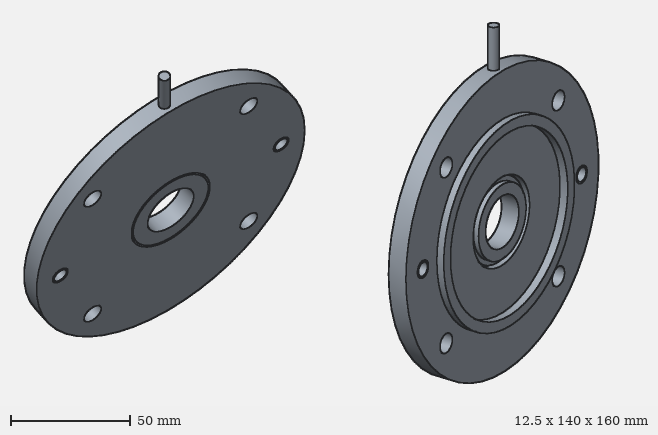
import cadquery as cq
import math


flange_diameter = 140.0
flange_thickness = 9.0
rim_diameter = 95.0
rim_height = 3.5
front_x = -(flange_thickness + rim_height)

cover_diameter = 85.0
cover_recess = 4.0
cover_front_x = front_x + cover_recess
cover_thickness = 4.0
cover_back_x = cover_front_x + cover_thickness

opening_diameter = 41.0
hub_diameter = 39.2
hub_nose_diameter = 34.5
hub_bore_diameter = 24.0
hub_nose_height = 2.5
hub_nose_x = -flange_thickness
hub_shoulder_x = hub_nose_x + hub_nose_height

pitch_radius = 57.5
mounting_hole_diameter = 9.0
mounting_hole_angles = (45, 135, 225, 315)
bushing_diameter = 8.0
bushing_bore_diameter = 6.4
bushing_angles = (0, 180)

cable_diameter = 5.0
cable_exposed_length = 20.0
cable_socket_depth = 4.0
cable_x = -flange_thickness / 2
cable_bottom_z = flange_diameter / 2 - cable_socket_depth
cable_length = cable_exposed_length + cable_socket_depth


def disc(diameter, start_x, end_x, y=0, z=0):
    """Cylinder along X between two X positions."""
    plane = cq.Workplane("YZ", origin=(start_x, y, z))
    return plane.circle(diameter / 2).extrude(end_x - start_x)


def pitch_point(angle):
    """Y and Z of a point on the pitch circle."""
    radians = math.radians(angle)
    return pitch_radius * math.cos(radians), pitch_radius * math.sin(radians)


def make_cable():
    plane = cq.Workplane("XY", origin=(cable_x, 0, cable_bottom_z))
    return plane.circle(cable_diameter / 2).extrude(cable_length)


def make_housing():
    body = disc(flange_diameter, -flange_thickness, 0)
    body = body.union(disc(rim_diameter, front_x, -flange_thickness))
    body = body.cut(disc(cover_diameter, front_x, cover_back_x))
    body = body.cut(disc(opening_diameter, front_x, 0))
    for angle in mounting_hole_angles:
        body = body.cut(disc(mounting_hole_diameter, -flange_thickness, 0, *pitch_point(angle)))
    for angle in bushing_angles:
        body = body.cut(disc(bushing_diameter, -flange_thickness, 0, *pitch_point(angle)))
    return body.cut(make_cable())


def make_cover():
    body = disc(cover_diameter, cover_front_x, cover_back_x)
    return body.cut(disc(opening_diameter, cover_front_x, cover_back_x))


def make_hub():
    body = disc(hub_diameter, hub_shoulder_x, 0)
    body = body.union(disc(hub_nose_diameter, hub_nose_x, hub_shoulder_x))
    return body.cut(disc(hub_bore_diameter, hub_nose_x, 0))


def make_bushing(angle):
    y, z = pitch_point(angle)
    body = disc(bushing_diameter, -flange_thickness, 0, y, z)
    return body.cut(disc(bushing_bore_diameter, -flange_thickness, 0, y, z))


housing = make_housing()
cover = make_cover()
hub = make_hub()
bushings = [make_bushing(angle) for angle in bushing_angles]
cable = make_cable()

result = cq.Compound.makeCompound(
    [housing.val(), cover.val(), hub.val(), *[bushing.val() for bushing in bushings], cable.val()]
)